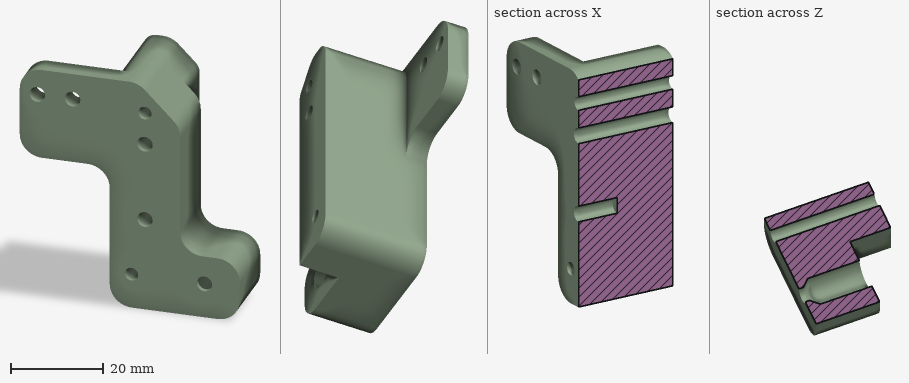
import cadquery as cq

width = 49.9
height = 54.0
column_depth = 24.45
foot_depth = 14.95
plate_depth = 4.95

column_left = 20.4
column_right = 36.4
ear_bottom = 33.0
foot_top = 14.5
bevel = 9.5
corner_radius = 5.0

rear_right = 33.15
rear_radius = 3.0

screw_diameter = 3.5
pin_diameter = 3.0
column_hole_x = 28.4
blind_hole_z = 21.5
blind_hole_depth = 10.0
lower_hole_z = 8.0
ear_hole_z = 48.0
foot_hole = (41.9, lower_hole_z)
screw_holes = [
    (4.0, ear_hole_z),
    (12.0, ear_hole_z),
    (column_hole_x, 39.55),
    foot_hole,
]
pin_holes = [(column_hole_x, 47.0), (25.4, lower_hole_z)]

foot_hole_floor = 1.1
head_diameter = 7.0


def extrude_outline(points, depth):
    """Extrude a closed XZ outline from the front face toward +Y."""
    return cq.Workplane("XZ").polyline(points).close().extrude(-depth)


def drill(centers, diameter, depth):
    """Cylinders running from the front face toward +Y."""
    return cq.Workplane("XZ").pushPoints(centers).circle(diameter / 2).extrude(-depth)


def block(left, right, near, far):
    """Full-height block between two X positions and two Y positions."""
    solid = cq.Workplane("XY").box(right - left, far - near, height, centered=False)
    return solid.translate((left, near, 0))


front_outline = [
    (0, ear_bottom),
    (column_left, ear_bottom),
    (column_left, 0),
    (width, 0),
    (width, foot_top),
    (column_right, foot_top),
    (column_right, height - bevel),
    (column_right - bevel, height),
    (0, height),
]
front = extrude_outline(front_outline, foot_depth).edges("|Y").fillet(corner_radius)

ear_relief = block(0, column_left, plate_depth, foot_depth)
front = front.cut(ear_relief)

rear_bevel_end = (rear_right, height - bevel + column_right - rear_right)
rear_bevel_start = (column_right - bevel, height)
bottom_left = (column_left, 0)
top_left = (column_left, height)
rear_outline = [
    bottom_left,
    (rear_right, 0),
    rear_bevel_end,
    rear_bevel_start,
    top_left,
]


def upright_edge(corner):
    """Select the edge along Y that passes through an XZ corner of the column."""
    x, z = corner
    middle_y = (plate_depth + column_depth) / 2
    return cq.NearestToPointSelector((x, middle_y, z))


rear = extrude_outline(rear_outline, column_depth)
rear = rear.intersect(block(0, width, plate_depth, column_depth))
for corner, radius in [
    (bottom_left, corner_radius),
    (rear_bevel_end, rear_radius),
    (rear_bevel_start, corner_radius),
    (top_left, rear_radius),
]:
    rear = rear.edges("|Y").edges(upright_edge(corner)).fillet(radius)

middle = front.intersect(block(column_left, width, plate_depth, foot_depth))
middle = middle.edges("|Y").edges(upright_edge(top_left)).fillet(rear_radius)
plate = front.intersect(block(0, width, 0, plate_depth))

result = plate.union(middle).union(rear)
result = result.cut(drill(screw_holes, screw_diameter, column_depth))
result = result.cut(drill(pin_holes, pin_diameter, column_depth))
result = result.cut(drill([(column_hole_x, blind_hole_z)], screw_diameter, blind_hole_depth))

cone_depth = (head_diameter - screw_diameter) / 2
foot_x, foot_z = foot_hole
head_profile = [
    (0, foot_hole_floor),
    (screw_diameter / 2, foot_hole_floor),
    (head_diameter / 2, foot_hole_floor + cone_depth),
    (head_diameter / 2, foot_depth),
    (0, foot_depth),
]
head_recess = cq.Workplane("XY").polyline(head_profile).close().revolve(360, (0, 0, 0), (0, 1, 0))
result = result.cut(head_recess.translate((foot_x, 0, foot_z)))